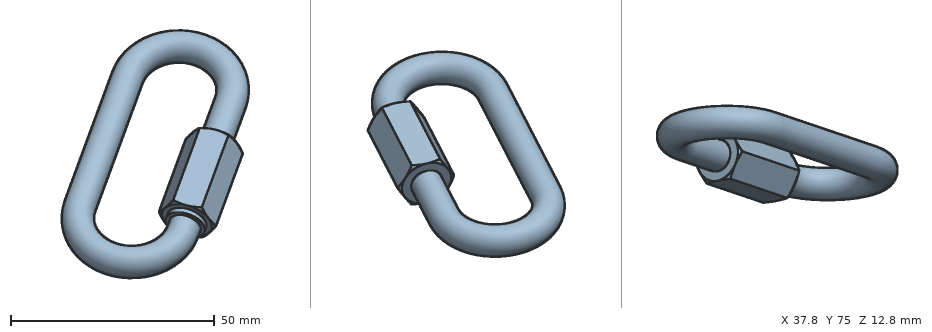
import cadquery as cq
import math

rod_diameter = 8.0
bend_radius = 13.2
overall_length = 75.0
straight_length = overall_length - 2 * bend_radius - rod_diameter

nut_across_flats = 12.75
nut_across_corners = nut_across_flats / math.cos(math.radians(30))
nut_length = 24.0
nut_start_y = -17.0
chamfer_angle = 30.0
collar_diameter = 10.05
collar_length = 1.4


def make_link():
    """Closed oval ring swept from the round rod section."""
    half_straight = straight_length / 2
    bend_crown = half_straight + bend_radius
    path = (
        cq.Workplane("XY")
        .moveTo(-bend_radius, -half_straight)
        .lineTo(-bend_radius, half_straight)
        .threePointArc((0, bend_crown), (bend_radius, half_straight))
        .lineTo(bend_radius, -half_straight)
        .threePointArc((0, -bend_crown), (-bend_radius, -half_straight))
        .close()
    )
    section = cq.Workplane("XZ", origin=(-bend_radius, -half_straight, 0)).circle(rod_diameter / 2)
    return section.sweep(path)


def nut_plane(y):
    """Plane across the nut axis at the given Y, with its normal along +Y."""
    return cq.Plane(origin=(bend_radius, y, 0), xDir=(1, 0, 0), normal=(0, 1, 0))


def make_chamfer_envelope():
    """Turned blank whose conical ends trim the corners of the hexagon."""
    flat_radius = nut_across_flats / 2
    corner_radius = nut_across_corners / 2
    chamfer_depth = (corner_radius - flat_radius) * math.tan(math.radians(chamfer_angle))
    return (
        cq.Workplane("XY", origin=(bend_radius, nut_start_y, 0))
        .moveTo(0, 0)
        .lineTo(flat_radius, 0)
        .lineTo(corner_radius, chamfer_depth)
        .lineTo(corner_radius, nut_length - chamfer_depth)
        .lineTo(flat_radius, nut_length)
        .lineTo(0, nut_length)
        .close()
        .revolve(360, (0, 0, 0), (0, 1, 0))
    )


def make_nut():
    """Chamfered hexagon with a collar at one end, bored through for the rod."""
    hexagon = cq.Workplane(nut_plane(nut_start_y)).polygon(6, nut_across_corners).extrude(nut_length)
    body = hexagon.intersect(make_chamfer_envelope())
    collar_start_y = nut_start_y - collar_length
    collar = cq.Workplane(nut_plane(collar_start_y)).circle(collar_diameter / 2).extrude(collar_length)
    bore = (
        cq.Workplane(nut_plane(collar_start_y))
        .circle(rod_diameter / 2)
        .extrude(collar_length + nut_length)
    )
    return body.union(collar).cut(bore)


link = make_link()
nut = make_nut()

result = cq.Compound.makeCompound([link.val(), nut.solids().val()])